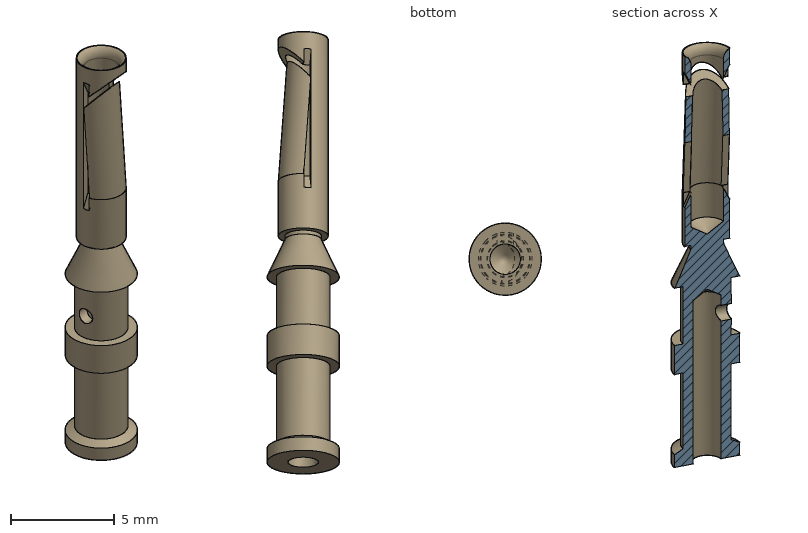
import cadquery as cq
import math

FLANGE_DIA = 3.5
BARREL_DIA = 2.6
NECK_DIA = 1.78
TUBE_DIA = 2.42

FLANGE_RIM_TOP = 0.7
FLANGE_TOP = 0.93
COLLAR_BOTTOM = 4.91
COLLAR_TOP = 6.47
CONE_BOTTOM = 9.48
CONE_TOP = 11.39
TUBE_BOTTOM = 11.58
TOTAL_HEIGHT = 21.65

DRILL_POINT_DEG = 118.0
SOCKET_DIA = 1.7
SOCKET_FLOOR = 12.55
MOUTH_RADIUS = 0.58
MOUTH_DEPTH = 0.52
WIRE_BORE_DIA = 1.47
WIRE_BORE_DEPTH = 8.65
PEEP_DIA = 0.8
PEEP_HEIGHT = 7.7

SLOT_WIDTH = 0.35
SLOT_BOTTOM = 13.66
SLOT_TOP = 20.78
SLOT_RUNOUT = 0.71
FOLD_HEIGHT = SLOT_BOTTOM + SLOT_RUNOUT
TONGUE_INSET = 0.02
TONGUE_BEND_DEG = 4.0
CAP_CUT_HEIGHT = 19.92
TONGUE_CUT_HEIGHT = 19.23

FLANGE_R = FLANGE_DIA / 2
BARREL_R = BARREL_DIA / 2
NECK_R = NECK_DIA / 2
TUBE_R = TUBE_DIA / 2
SOCKET_R = SOCKET_DIA / 2
SLOT_HALF = SLOT_WIDTH / 2
CLEAR = FLANGE_DIA


def drilled_profile(radius, open_z, floor_z):
    """Half profile of a blind drilled hole with a conical end."""
    point_length = radius / math.tan(math.radians(DRILL_POINT_DEG / 2))
    tip_z = floor_z + math.copysign(point_length, floor_z - open_z)
    return (
        cq.Workplane("XZ")
        .moveTo(0, open_z)
        .lineTo(radius, open_z)
        .lineTo(radius, floor_z)
        .lineTo(0, tip_z)
        .close()
    )


def turned_body():
    """Solid of revolution: foot, barrel, collar, cone, neck and tube."""
    outline = [
        (0, 0),
        (FLANGE_R, 0),
        (FLANGE_R, FLANGE_RIM_TOP),
        (BARREL_R, FLANGE_TOP),
        (BARREL_R, COLLAR_BOTTOM),
        (FLANGE_R, COLLAR_BOTTOM),
        (FLANGE_R, COLLAR_TOP),
        (BARREL_R, COLLAR_TOP),
        (BARREL_R, CONE_BOTTOM),
        (FLANGE_R, CONE_BOTTOM),
        (NECK_R, CONE_TOP),
        (NECK_R, TUBE_BOTTOM),
        (TUBE_R, TUBE_BOTTOM),
        (TUBE_R, TOTAL_HEIGHT),
        (0, TOTAL_HEIGHT),
    ]
    return cq.Workplane("XZ").polyline(outline).close().revolve(360, (0, 0), (0, 1))


def socket():
    """Upper bore with a rounded mouth."""
    bore = drilled_profile(SOCKET_R, TOTAL_HEIGHT, SOCKET_FLOOR).revolve(360, (0, 0), (0, 1))
    mouth_r = SOCKET_R + MOUTH_RADIUS - math.sqrt(MOUTH_RADIUS**2 - MOUTH_DEPTH**2)
    mouth = (
        cq.Workplane("XZ")
        .moveTo(0, TOTAL_HEIGHT)
        .lineTo(mouth_r, TOTAL_HEIGHT)
        .radiusArc((SOCKET_R, TOTAL_HEIGHT - MOUTH_DEPTH), -MOUTH_RADIUS)
        .lineTo(0, TOTAL_HEIGHT - MOUTH_DEPTH)
        .close()
        .revolve(360, (0, 0), (0, 1))
    )
    return bore.union(mouth)


def wire_bore():
    """Lower bore that takes the wire."""
    return drilled_profile(WIRE_BORE_DIA / 2, 0, WIRE_BORE_DEPTH).revolve(360, (0, 0), (0, 1))


def peep_hole():
    """Inspection hole from the -Y side into the wire bore."""
    return cq.Workplane("XZ").center(0, PEEP_HEIGHT).circle(PEEP_DIA / 2).extrude(CLEAR)


def slots():
    """Slots through the -Y and +Y walls; their ends slope inwards through the wall."""
    inner_top = SLOT_TOP - SLOT_RUNOUT
    outline = [
        (-TUBE_R, SLOT_BOTTOM),
        (-SOCKET_R, FOLD_HEIGHT),
        (SOCKET_R, FOLD_HEIGHT),
        (TUBE_R, SLOT_BOTTOM),
        (TUBE_R, SLOT_TOP),
        (SOCKET_R, inner_top),
        (-SOCKET_R, inner_top),
        (-TUBE_R, SLOT_TOP),
    ]
    return cq.Workplane("YZ").polyline(outline).close().extrude(SLOT_HALF, both=True)


def side_block(near_x, cut_height):
    """Block on the +X side of near_x, from the fold up to a 45 degree plane."""
    outline = [
        (near_x, FOLD_HEIGHT),
        (CLEAR, FOLD_HEIGHT),
        (CLEAR, cut_height + CLEAR),
        (near_x, cut_height + near_x),
    ]
    return cq.Workplane("XZ").polyline(outline).close().extrude(CLEAR, both=True)


def bent_tongue(tube):
    """Piece of the tube wall bent inwards about the fold."""
    straight = tube.intersect(side_block(SLOT_HALF + TONGUE_INSET, TONGUE_CUT_HEIGHT))
    bent = straight.rotate((TUBE_R, 0, FOLD_HEIGHT), (TUBE_R, 1, FOLD_HEIGHT), -TONGUE_BEND_DEG)
    above_fold = cq.Workplane("XY", origin=(0, 0, FOLD_HEIGHT)).rect(CLEAR, CLEAR).extrude(TOTAL_HEIGHT)
    return bent.intersect(above_fold)


bored = turned_body().cut(socket()).cut(wire_bore()).cut(peep_hole())
slotted = bored.cut(slots()).cut(side_block(SLOT_HALF, CAP_CUT_HEIGHT))
result = slotted.union(bent_tongue(bored))